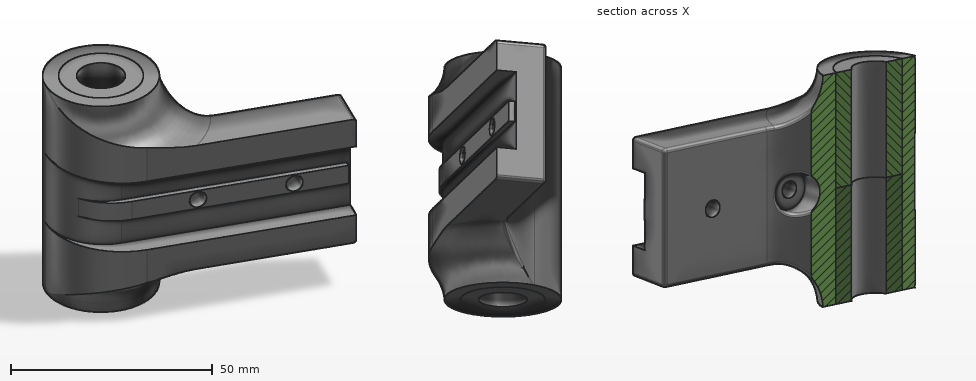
import cadquery as cq
import math

barrel_height = 60.0
barrel_diameter = 29.0
barrel_radius = barrel_diameter / 2
bushing_diameter = 21.0
bore_diameter = 12.0

overall_length = 74.5
beyond_part = 4 * overall_length
plate_end_y = overall_length - barrel_radius
plate_height = 36.0
plate_thickness = 13.0
overall_width = 34.5
back_x = overall_width - barrel_radius
front_x = back_x - plate_thickness
inner_fillet_radius = 15.0
shoulder_radius = 12.7
edge_round = 1.0
runout_radius = 15.3

channel_width = 20.0
channel_depth = 5.0
channel_floor_x = back_x - channel_depth
rib_width = 5.2
rib_top_x = 16.6
rib_start_x = 11.25

screw_diameter = 4.4
screw_spacing = 25.0
near_screw_y = 20.0
screw_ys = [near_screw_y, near_screw_y + screw_spacing]
recess_diameter = 10.1
recess_y = 20.3
recess_floor_x = 8.95


def hinge_outline(wrap_radius):
    """Outline whose wrap arc leaves the barrel tangentially and ends at x = wrap_radius."""
    wrap_y = wrap_radius - barrel_radius
    diagonal = math.sqrt(0.5)
    fillet_x = front_x - inner_fillet_radius
    center_distance = barrel_radius + inner_fillet_radius
    fillet_y = math.sqrt(center_distance**2 - fillet_x**2)
    to_barrel = barrel_radius / center_distance
    fillet_middle_angle = math.atan2(-fillet_y, -fillet_x) / 2
    return (
        cq.Workplane("XY")
        .workplane(offset=-barrel_height / 2)
        .moveTo(0, -barrel_radius)
        .threePointArc((wrap_radius * diagonal, wrap_y - wrap_radius * diagonal), (wrap_radius, wrap_y))
        .lineTo(wrap_radius, plate_end_y)
        .lineTo(front_x, plate_end_y)
        .lineTo(front_x, fillet_y)
        .threePointArc(
            (
                fillet_x + inner_fillet_radius * math.cos(fillet_middle_angle),
                fillet_y + inner_fillet_radius * math.sin(fillet_middle_angle),
            ),
            (fillet_x * to_barrel, fillet_y * to_barrel),
        )
        .threePointArc((-barrel_radius, 0), (0, -barrel_radius))
        .close()
        .extrude(barrel_height)
    )


def shoulder_cut():
    """Ring outside the barrel that narrows the upper end to the plate height by a concave arc."""
    drop = (barrel_height - plate_height) / 2
    arc_z = plate_height / 2 + shoulder_radius
    reach = math.sqrt(shoulder_radius**2 - (shoulder_radius - drop) ** 2)
    arc_center_r = barrel_radius + reach
    start_angle = math.pi + math.asin((shoulder_radius - drop) / shoulder_radius)
    end_angle = 1.5 * math.pi
    middle_angle = (start_angle + end_angle) / 2
    return (
        cq.Workplane("XZ")
        .moveTo(barrel_radius, barrel_height / 2)
        .threePointArc(
            (
                arc_center_r + shoulder_radius * math.cos(middle_angle),
                arc_z + shoulder_radius * math.sin(middle_angle),
            ),
            (arc_center_r, plate_height / 2),
        )
        .lineTo(beyond_part, plate_height / 2)
        .lineTo(beyond_part, barrel_height / 2)
        .close()
        .revolve(360, (0, 0, 0), (0, 1, 0))
    )


def channel_cut():
    """Middle band of the outer outline that lies outside the channel floor."""
    band = cq.Workplane("XY").box(beyond_part, beyond_part, channel_width)
    return hinge_outline(back_x).cut(hinge_outline(channel_floor_x)).intersect(band)


def channel_rib():
    """Rib that rises out of the curved channel floor and runs on along the plate."""
    floor_arc_y = channel_floor_x - barrel_radius
    start_y = floor_arc_y - math.sqrt(channel_floor_x**2 - rib_start_x**2)
    start_drop = math.sqrt(rib_top_x**2 - rib_start_x**2)
    arc_y = start_y + start_drop
    middle_angle = -math.atan2(start_drop, rib_start_x) / 2
    return (
        cq.Workplane("XY")
        .workplane(offset=-rib_width / 2)
        .moveTo(rib_start_x, start_y)
        .threePointArc(
            (rib_top_x * math.cos(middle_angle), arc_y + rib_top_x * math.sin(middle_angle)),
            (rib_top_x, arc_y),
        )
        .lineTo(rib_top_x, plate_end_y - edge_round)
        .lineTo(rib_start_x, plate_end_y - edge_round)
        .close()
        .extrude(rib_width)
    )


def cylinder_along_x(diameter, y, start_x, end_x):
    """Cylinder along X at height z = 0."""
    return cq.Workplane("YZ").workplane(offset=start_x).center(y, 0).circle(diameter / 2).extrude(end_x - start_x)


def round_plate_edges(blank):
    """Round the end of the plate, and its front edges until they run out near the barrel."""
    runout = cq.Workplane("XY").circle(runout_radius).extrude(barrel_height, both=True)
    barrel = blank.intersect(runout)
    plate = blank.cut(runout)
    front_edges = plate.edges("|Y").edges("<X")
    end_edges = plate.faces(">Y").edges("not(>X)")
    return barrel.union(front_edges.add(end_edges).fillet(edge_round))


def cut_screw_recess(housing):
    """Sink the flat seat of the screw next to the barrel and round its rim."""
    recess_radius = recess_diameter / 2
    housing = housing.cut(cylinder_along_x(recess_diameter, recess_y, -back_x, recess_floor_x))
    rim_zone = cq.selectors.BoxSelector(
        (-back_x, recess_y - recess_radius, -recess_radius),
        (front_x, recess_y + recess_radius, recess_radius),
    )
    return housing.edges(rim_zone).fillet(edge_round)


def make_housing():
    """Barrel and plate in one piece, with the channel, screw holes and bushing seat."""
    shoulder = shoulder_cut()
    housing = hinge_outline(back_x).cut(shoulder).cut(shoulder.mirror("XY"))
    housing = round_plate_edges(housing)
    housing = cut_screw_recess(housing)
    housing = housing.cut(channel_cut()).union(channel_rib())
    for y in screw_ys:
        housing = housing.cut(cylinder_along_x(screw_diameter, y, -back_x, back_x))

    bushing_seat = cq.Workplane("XY").circle(bushing_diameter / 2).extrude(barrel_height, both=True)
    return housing.cut(bushing_seat)


def make_bushing():
    """Upper bushing, from the middle of the barrel to its end."""
    return cq.Workplane("XY").circle(bushing_diameter / 2).circle(bore_diameter / 2).extrude(barrel_height / 2)


housing = make_housing()
upper_bushing = make_bushing()
bushings = [upper_bushing, upper_bushing.mirror("XY")]

result = cq.Compound.makeCompound([housing.val(), *[bushing.val() for bushing in bushings]])